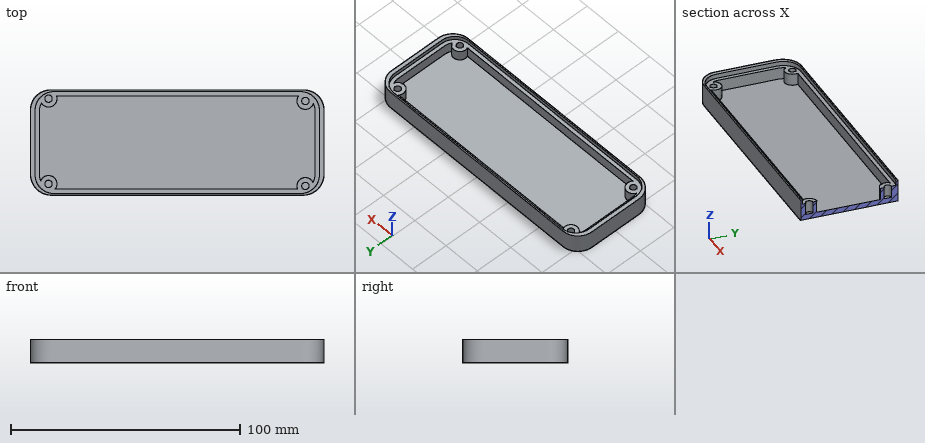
import cadquery as cq

LENGTH = 128.2
WIDTH = 46.0
HEIGHT = 10.3
FRONT_CORNER_RADIUS = 9.2
BACK_CORNER_RADIUS = 8.8

LIP_THICKNESS_X = 2.0
LIP_THICKNESS_Y = 0.8
LIP_DEPTH = 2.0
LIP_CORNER_RADIUS = 8.2

LEDGE_WIDTH = 1.9
FLOOR_THICKNESS = 2.7

BOSS_DIAMETER = 7.3
HOLE_DIAMETER = 3.2
LEFT_BOSS_INSET = 8.0
RIGHT_BOSS_INSET = 8.2
LEFT_FRONT_BOSS_INSET = 5.0
LEFT_BACK_BOSS_INSET = 3.8
RIGHT_FRONT_BOSS_INSET = 4.1
RIGHT_BACK_BOSS_INSET = 4.9

ledge_z = HEIGHT - LIP_DEPTH
recess_length = LENGTH - 2 * LIP_THICKNESS_X
recess_width = WIDTH - 2 * LIP_THICKNESS_Y
cavity_length = recess_length - 2 * LEDGE_WIDTH
cavity_width = recess_width - 2 * LEDGE_WIDTH
cavity_corner_radius = LIP_CORNER_RADIUS - LEDGE_WIDTH

left_boss_x = -LENGTH / 2 + LEFT_BOSS_INSET
right_boss_x = LENGTH / 2 - RIGHT_BOSS_INSET
boss_centres = [
    (left_boss_x, -WIDTH / 2 + LEFT_FRONT_BOSS_INSET),
    (left_boss_x, WIDTH / 2 - LEFT_BACK_BOSS_INSET),
    (right_boss_x, -WIDTH / 2 + RIGHT_FRONT_BOSS_INSET),
    (right_boss_x, WIDTH / 2 - RIGHT_BACK_BOSS_INSET),
]


def rounded_block(length, width, bottom, top, front_radius, back_radius):
    """Upright block whose front and back pairs of corners are rounded separately."""
    block = cq.Workplane("XY").workplane(offset=bottom).rect(length, width).extrude(top - bottom)
    block = block.faces("<Y").edges("|Z").fillet(front_radius)
    return block.faces(">Y").edges("|Z").fillet(back_radius)


def cylinders(diameter, bottom, top):
    """One upright cylinder at each boss centre."""
    plane = cq.Workplane("XY").workplane(offset=bottom)
    return plane.pushPoints(boss_centres).circle(diameter / 2).extrude(top - bottom)


body = rounded_block(LENGTH, WIDTH, 0, HEIGHT, FRONT_CORNER_RADIUS, BACK_CORNER_RADIUS)
recess = rounded_block(
    recess_length, recess_width, ledge_z, HEIGHT, LIP_CORNER_RADIUS, LIP_CORNER_RADIUS
)
cavity = rounded_block(
    cavity_length, cavity_width, FLOOR_THICKNESS, ledge_z, cavity_corner_radius, cavity_corner_radius
)

bosses = cylinders(BOSS_DIAMETER, FLOOR_THICKNESS, ledge_z).intersect(body)
holes = cylinders(HOLE_DIAMETER, FLOOR_THICKNESS, ledge_z)

result = body.cut(recess).cut(cavity).union(bosses).cut(holes)